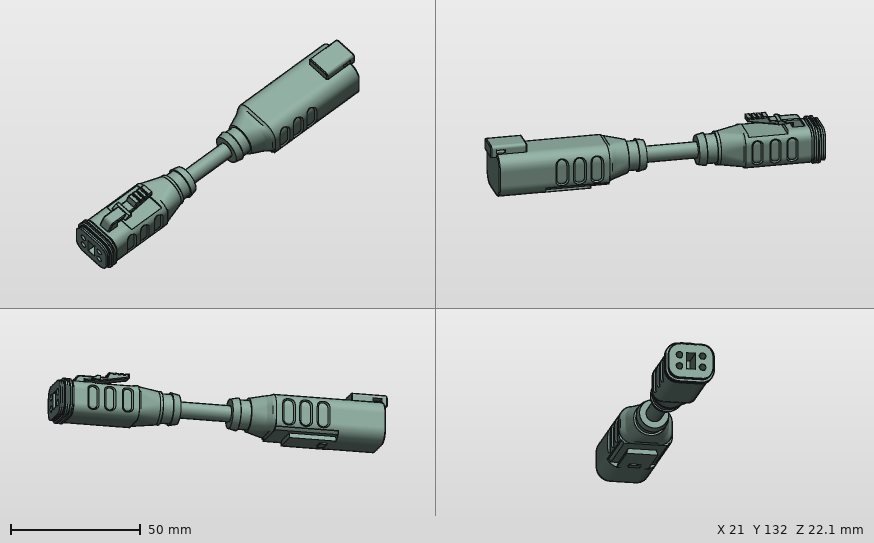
import cadquery as cq


cable_dia = 6.3
collar_dia = 11.5
flange_dia = 12.8
boot_dia = 13.1
body_bevel = 0.4
collar_length = 4.2
flange_length = 3.0

socket_width = 17.5
socket_top = 6.9
socket_bottom = -7.1
socket_radius = 4.1
socket_nose_height = 13.5
socket_nose_inset = 0.1
socket_body_start = 5.4
socket_body_end = 31.7
socket_bevel_end = 32.3
socket_boot_end = 42.0
socket_boot_rim = 1.2
seal_overhang = 0.9
seal_thickness = 0.8
seal_starts = (2.0, 3.8)
nose_groove_start = 0.8
nose_groove_length = 0.8
nose_groove_depth = 0.1

contact_dia = 2.5
contact_pitch_x = 9.1
contact_pitch_z = 4.5
contact_depth = 13.2
key_width = 3.5
key_height = 6.5
key_depth = 10.5

recess_width = 14.7
recess_start = 14.1
recess_slope = 0.5
recess_end = 30.1
recess_floor = 6.1

latch_width = 5.1
latch_top = 12.1
latch_bar_top = 10.2
latch_bar_bottom = 8.5
latch_tip = 29.5
latch_grip_end = 21.4
latch_bend = 18.1
latch_root_back = 11.6
latch_nose = 6.6
latch_shoulder = 8.7
latch_shoulder_radius = 2.0
latch_grip_slope = 1.0
latch_tip_bottom = 10.5
latch_chamfer = 0.4
wing_width = 7.5
wing_foot = 14.3
wing_foot_height = 0.4
wing_start = 16.2
wing_length = 1.3
wing_bottom = 8.8
wing_top = 10.3
tooth_gap = 0.8
tooth_depth = 0.7
tooth_gap_count = 3

plug_width = 21.0
plug_top = 7.5
plug_bottom = -9.5
plug_radius = 5.5
plug_boot_start = 77.4
plug_waist = 82.9
plug_waist_width = 17.2
plug_waist_height = 14.3
plug_body_start = 86.0
plug_bevel_start = 84.9
plug_step = 111.1
plug_end = 129.9
plug_end_chamfer = 0.4
underside = -7.5
ledge = -6.3
flank_inset = 0.5

pad_start = 92.5
pad_top_width = 11.1
pad_bottom_width = 12.4
bump_start = 105.7
bump_length = 2.8
bump_width = 4.6
bump_bottom = -10.0

tab_width = 10.5
tab_start = 117.6
tab_end = 132.0
tab_top = 10.8
tab_fillet = 1.3
tab_end_chamfer = 0.4
tab_hook_bottom = 6.5
window_start = 126.2
window_end = 129.8
window_bottom = 8.0
window_top = 9.2

grip_depth = 0.7
grip_taper = 45
socket_grips = (13.2, 19.9, 27.0)
socket_grip_width = 4.5
socket_grip_height = 10.8
plug_grips = (91.1, 98.0, 105.0)
plug_grip_width = 5.1
plug_grip_height = 12.0

round_end = 0.49
overlap = 0.7


def plane_at(y):
    """XZ plane at the given Y; extrusion runs towards +Y."""
    return cq.Plane(origin=(0, y, 0), xDir=(-1, 0, 0), normal=(0, 1, 0))


def box(width, y_start, y_end, z_bottom, z_top):
    """Box centred on X between the given Y and Z limits."""
    size_y = y_end - y_start
    size_z = z_top - z_bottom
    corner = (-width / 2, y_start, z_bottom)
    return cq.Workplane("XY").box(width, size_y, size_z, centered=False).translate(corner)


def disc(dia, y_start, y_end):
    return cq.Workplane(plane_at(y_start)).circle(dia / 2).extrude(y_end - y_start)


def rounded_bar(width, height, radius, y_start, y_end, z_middle=0):
    """Bar along Y with a rounded rectangular section."""
    bar = cq.Workplane(plane_at(y_start)).rect(width, height).extrude(y_end - y_start)
    return bar.edges("|Y").fillet(radius).translate((0, 0, z_middle))


def tapered_boot(*ends):
    """Ruled loft through rounded rectangles given as (width, height, radius, y)."""
    start = ends[0][-1]
    sections = []
    for width, height, radius, y in ends:
        sketch = cq.Sketch().rect(width, height).vertices().fillet(radius)
        sections.append(sketch.moved(cq.Location(cq.Vector(0, 0, y - start))))
    return cq.Workplane(plane_at(start)).placeSketch(*sections).loft(ruled=True)


def strain_relief(boot_end, direction):
    """Collar and tapered flange leading from a boot to the cable; direction is +1 or -1 in Y."""
    flange_start = boot_end + direction * collar_length
    profile = [
        (0, boot_end - direction * overlap),
        (collar_dia / 2, boot_end - direction * overlap),
        (collar_dia / 2, flange_start),
        (flange_dia / 2, flange_start),
        (collar_dia / 2, flange_start + direction * flange_length),
        (0, flange_start + direction * flange_length),
    ]
    return cq.Workplane("XY").polyline(profile).close().revolve(360, (0, 0, 0), (0, 1, 0))


def cut_grips(body, core, half_width, centers, width, height):
    """Press sloped oblong recesses into both flanks, down to the inset core."""
    for side in (-1, 1):
        for y in centers:
            face = cq.Plane(origin=(side * half_width, y, 0), xDir=(0, side, 0), normal=(side, 0, 0))
            oblong = cq.Workplane(face).slot2D(height, width, 90)
            recess = oblong.extrude(-half_width / 2, taper=grip_taper)
            body = body.cut(recess.cut(core))
    return body


def socket_bar(inset):
    """Socket body section, shrunk by inset all round."""
    return rounded_bar(
        socket_width - 2 * inset,
        socket_top - socket_bottom - 2 * inset,
        socket_radius - inset,
        socket_body_start,
        socket_body_end,
        (socket_top + socket_bottom) / 2,
    )


def nose_bar(offset, y_start, length):
    """Length of the socket nose section, grown by offset all round."""
    return rounded_bar(
        socket_width - 2 * socket_nose_inset + 2 * offset,
        socket_nose_height + 2 * offset,
        socket_radius + offset,
        y_start,
        y_start + length,
    )


def socket_nose():
    """Mating nose with two seal lips and a shallow groove near its face."""
    nose = nose_bar(0, 0, socket_body_start)
    groove = nose_bar(0, nose_groove_start, nose_groove_length)
    groove = groove.cut(nose_bar(-nose_groove_depth, nose_groove_start, nose_groove_length))
    nose = nose.cut(groove)
    for y in seal_starts:
        nose = nose.union(nose_bar(seal_overhang, y, seal_thickness))
    return nose


def latch_recess():
    """Flat relief under the latch, with a sloped wall at its front end."""
    outline = [
        (recess_start, socket_top),
        (recess_start + recess_slope, recess_floor),
        (recess_end, recess_floor),
        (recess_end, socket_top),
    ]
    return cq.Workplane("YZ").polyline(outline).close().extrude(recess_width / 2, both=True)


def socket_body():
    body = cut_grips(
        socket_bar(0),
        socket_bar(grip_depth),
        socket_width / 2,
        socket_grips,
        socket_grip_width,
        socket_grip_height,
    )
    body = body.cut(latch_recess())

    rim_start = socket_boot_end - socket_boot_rim
    bevel_width = socket_width - 2 * body_bevel
    boot = tapered_boot(
        (socket_width, 2 * socket_top, socket_radius, socket_body_end),
        (bevel_width, 2 * socket_top - body_bevel, socket_radius, socket_bevel_end),
        (boot_dia, boot_dia, round_end * boot_dia, rim_start),
    )
    rim = disc(boot_dia, rim_start - overlap, socket_boot_end)
    return body.union(boot).union(rim)


def socket_openings():
    """Four contact holes around a rectangular key opening."""
    mating_face = cq.Workplane(plane_at(0))
    holes = mating_face.rarray(contact_pitch_x, contact_pitch_z, 2, 2).circle(contact_dia / 2)
    key = box(key_width, 0, key_depth, -key_height / 2, key_height / 2)
    return holes.extrude(contact_depth).union(key)


def latch():
    """Sprung lever rooted near the mating face, with a ribbed finger grip at its free end."""
    root_bottom = socket_top - overlap
    outline = [
        (latch_nose, root_bottom),
        (latch_nose, socket_top),
        (latch_shoulder, latch_bar_top),
        (latch_grip_end - latch_grip_slope, latch_bar_top),
        (latch_grip_end, latch_top),
        (latch_tip, latch_top),
        (latch_tip, latch_tip_bottom),
        (latch_bend, latch_bar_bottom),
        (latch_root_back, latch_bar_bottom),
        (latch_root_back, root_bottom),
    ]
    lever = cq.Workplane("YZ").polyline(outline).close().extrude(latch_width / 2, both=True)
    shoulder = cq.selectors.NearestToPointSelector((0, latch_shoulder, latch_bar_top))
    lever = lever.edges("|X").edges(shoulder).fillet(latch_shoulder_radius)
    lever = lever.faces("<X or >X").edges().chamfer(latch_chamfer)

    tooth_pitch = (latch_tip - latch_grip_end) / (tooth_gap_count + 1)
    for index in range(tooth_gap_count):
        gap_start = latch_grip_end + (index + 1) * tooth_pitch - tooth_gap / 2
        gap_end = gap_start + tooth_gap
        lever = lever.cut(box(latch_width, gap_start, gap_end, latch_top - tooth_depth, latch_top))

    wing_outline = [
        (wing_foot, wing_bottom),
        (wing_start + wing_length, wing_bottom),
        (wing_start + wing_length, wing_top),
        (wing_start, wing_top),
        (wing_foot, wing_bottom + wing_foot_height),
    ]
    wings = cq.Workplane("YZ").polyline(wing_outline).close().extrude(wing_width / 2, both=True)
    return lever.union(wings)


def plug_bar(inset, y_start):
    """Full-height plug section, shrunk by inset all round, up to the mating end."""
    return rounded_bar(
        plug_width - 2 * inset,
        plug_top - plug_bottom - 2 * inset,
        plug_radius - inset,
        y_start,
        plug_end,
        (plug_top + plug_bottom) / 2,
    )


def plug_body():
    body = plug_bar(0, plug_body_start).faces(">Y").chamfer(plug_end_chamfer)
    core = plug_bar(grip_depth, plug_body_start)
    body = cut_grips(body, core, plug_width / 2, plug_grips, plug_grip_width, plug_grip_height)

    body = body.cut(box(plug_width, plug_body_start, plug_step, plug_bottom, underside))
    below_ledge = box(plug_width, plug_body_start, plug_step, underside, ledge)
    body = body.cut(below_ledge.cut(plug_bar(flank_inset, plug_body_start)))

    boot = tapered_boot(
        (boot_dia, boot_dia, round_end * boot_dia, plug_boot_start),
        (plug_waist_width, plug_waist_height, plug_radius, plug_waist),
        (plug_width - 2 * body_bevel, 2 * (plug_top - body_bevel), plug_radius, plug_bevel_start),
        (plug_width, 2 * plug_top, plug_radius, plug_body_start),
    )
    return body.union(boot)


def underside_pad():
    """Flared pad under the plug, carrying a small bump."""
    outline = [
        (-pad_top_width / 2, underside + overlap),
        (pad_top_width / 2, underside + overlap),
        (pad_top_width / 2, underside),
        (pad_bottom_width / 2, plug_bottom),
        (-pad_bottom_width / 2, plug_bottom),
        (-pad_top_width / 2, underside),
    ]
    pad = cq.Workplane(plane_at(pad_start)).polyline(outline).close()
    bump = box(bump_width, bump_start, bump_start + bump_length, bump_bottom, underside)
    return pad.extrude(plug_step - pad_start).union(bump)


def latch_tab():
    """Catch for a mating latch: a block with a side window and a hook over the mating end."""
    tab = box(tab_width, tab_start, tab_end, tab_hook_bottom, tab_top)
    tab = tab.edges("|Y and >Z").fillet(tab_fillet)
    tab = tab.faces("<Y or >Y").edges(">Z").chamfer(tab_end_chamfer)
    return tab.cut(box(tab_width, window_start, window_end, window_bottom, window_top))


cable = disc(cable_dia, socket_boot_end + collar_length, plug_boot_start - collar_length)

socket = (
    socket_body()
    .union(socket_nose())
    .union(strain_relief(socket_boot_end, 1))
    .cut(socket_openings())
    .union(latch())
)

plug = (
    plug_body()
    .union(strain_relief(plug_boot_start, -1))
    .union(underside_pad())
    .union(latch_tab())
)

result = socket.union(cable).union(plug)